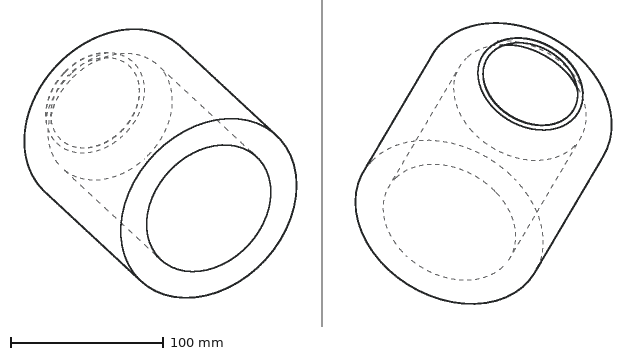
import cadquery as cq
import math

length = 161.3
body_radius = 130.6 / 2
shoulder_fillet = 2.3
face_angle = 10.0

mouth_radius = 66.0 / 2
wall = 3.5
rim_flat = 0.3
rim_fillet = (wall - rim_flat) / 2
rim_radius = mouth_radius + wall
flat_inner_radius = mouth_radius + rim_fillet
flat_outer_radius = rim_radius - rim_fillet

neck_length = 21.6
neck_root_radius = 48.5
outer_flare_sag = 0.8
root_fillet = 2.4

bore_start = 22.5
bore_radius = 46.1
inner_flare_sag = 1.1

shoulder_start = neck_length + (body_radius - neck_root_radius) * math.tan(math.radians(face_angle))


def flare_middle(start, end, sag):
    """Middle of a flare arc, dipped toward the axis below its chord."""
    return (start[0] + end[0]) / 2, (start[1] + end[1]) / 2 - sag


rim_inner = (rim_fillet, mouth_radius)
rim_outer = (rim_fillet, rim_radius)
neck_root = (neck_length, neck_root_radius)
bore_entry = (bore_start, bore_radius)

rim_arc_rise = rim_fillet * math.sqrt(0.5)
rim_arc_x = rim_fillet - rim_arc_rise

profile = (
    cq.Workplane("XY")
    .moveTo(*rim_inner)
    .threePointArc((rim_arc_x, flat_inner_radius - rim_arc_rise), (0, flat_inner_radius))
    .lineTo(0, flat_outer_radius)
    .threePointArc((rim_arc_x, flat_outer_radius + rim_arc_rise), rim_outer)
    .threePointArc(flare_middle(rim_outer, neck_root, outer_flare_sag), neck_root)
    .lineTo(shoulder_start, body_radius)
    .lineTo(length, body_radius)
    .lineTo(length, bore_radius)
    .lineTo(*bore_entry)
    .threePointArc(flare_middle(rim_inner, bore_entry, inner_flare_sag), rim_inner)
    .close()
)
body = profile.revolve(360, (0, 0, 0), (1, 0, 0))


def round_ring_edge(solid, x, radius, fillet):
    """Round the circular edge at the given position and radius."""
    gap = 0.08
    low = (x - gap, -radius - gap, -radius - gap)
    high = (x + gap, radius + gap, radius + gap)
    ring = cq.selectors.BoxSelector(low, high, boundingbox=True)
    return solid.edges("%CIRCLE").edges(ring).fillet(fillet)


body = round_ring_edge(body, shoulder_start, body_radius, shoulder_fillet)
result = round_ring_edge(body, neck_length, neck_root_radius, root_fillet)